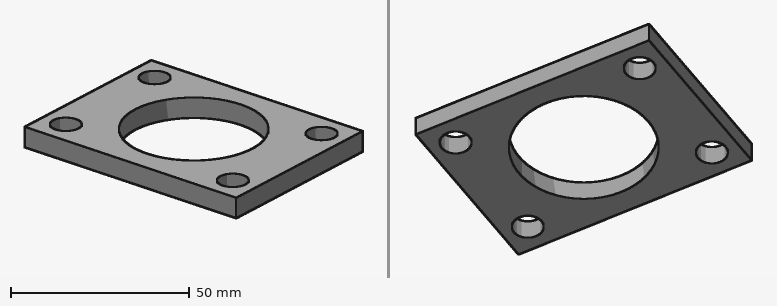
import cadquery as cq

length = 76.0
width = 57.0
thickness = 6.4

bore_diameter = 42.0
bolt_diameter = 9.0
bolt_spacing_x = 60.0
bolt_spacing_y = 40.0

plate = cq.Workplane("XY").box(length, width, thickness)

bored_plate = plate.faces(">Z").workplane().hole(bore_diameter)

result = (
    bored_plate.faces(">Z")
    .workplane(origin=(0, 0, 0))
    .rect(bolt_spacing_x, bolt_spacing_y, forConstruction=True)
    .vertices()
    .hole(bolt_diameter)
)